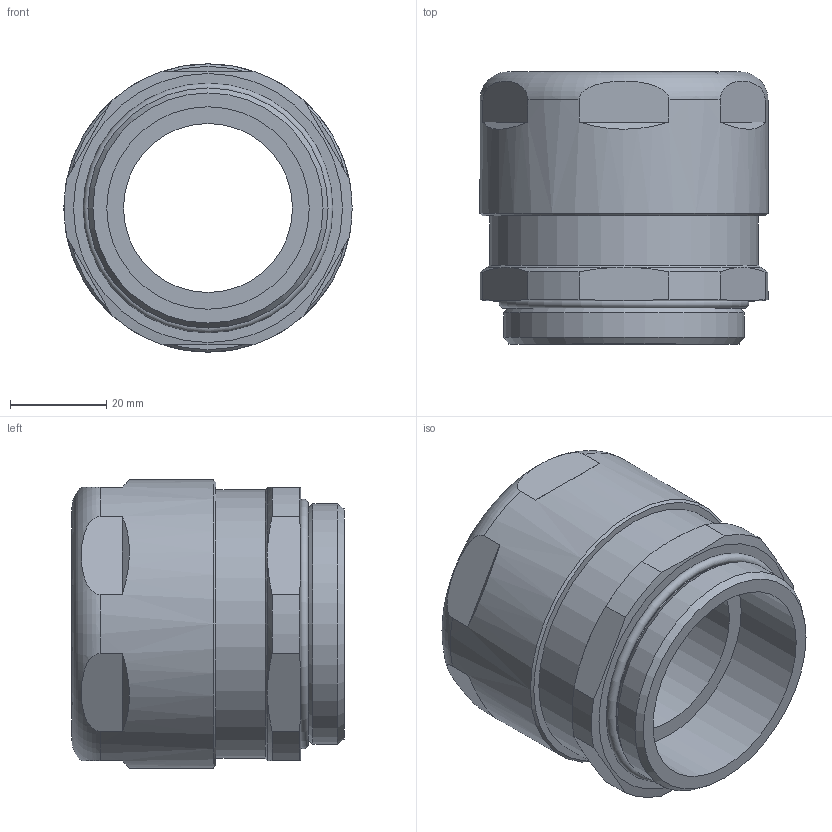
import cadquery as cq
import math


total_length = 56.7

thread_radius = 50 / 2
thread_tip_radius = 47.91 / 2
thread_tip_chamfer = 1.4
thread_back_start = 6.5
thread_length = 7.6
thread_relief_radius = 24.2

seal_centre_radius = 25.0
seal_section_radius = 1.0
seal_centre_y = 8.5

flange_radius = 60 / 2
flange_face_radius = 56 / 2
flange_face_y = 9.0
flange_front_rim_y = 9.25
flange_back_rim_y = 15.0
flange_back_shoulder_radius = 28.6
flange_back_shoulder_y = 15.9
flange_end_y = 16.4

neck_radius = 56 / 2

nut_radius = 60 / 2
nut_start_y = 26.7
nut_front_chamfer = 0.5
nut_rounding = 5.9

flat_count = 6
across_flats = 57.0
nut_flat_length = 10.5

through_bore_radius = 35.2 / 2
front_bore_radius = 42.15 / 2
front_bore_depth = 16.2


def make_turned_body():
    """Solid of revolution about Y: thread, seal ring, flange, neck and cap nut.

    The seal ring has a round section, partly sunk into the thread relief and the flange face.
    """
    seal_base_y = seal_centre_y - math.sqrt(
        seal_section_radius**2 - (seal_centre_radius - thread_relief_radius) ** 2
    )
    seal_rim_radius = seal_centre_radius + math.sqrt(
        seal_section_radius**2 - (flange_face_y - seal_centre_y) ** 2
    )
    seal_arc_offset = seal_section_radius * math.sqrt(0.5)
    nut_arc_inset = nut_rounding * (1 - math.sqrt(0.5))
    return (
        cq.Workplane("XY")
        .moveTo(0, 0)
        .lineTo(thread_tip_radius, 0)
        .lineTo(thread_radius, thread_tip_chamfer)
        .lineTo(thread_radius, thread_back_start)
        .lineTo(thread_relief_radius, thread_length)
        .lineTo(thread_relief_radius, seal_base_y)
        .threePointArc(
            (seal_centre_radius + seal_arc_offset, seal_centre_y - seal_arc_offset),
            (seal_rim_radius, flange_face_y),
        )
        .lineTo(flange_face_radius, flange_face_y)
        .lineTo(flange_radius, flange_front_rim_y)
        .lineTo(flange_radius, flange_back_rim_y)
        .lineTo(flange_back_shoulder_radius, flange_back_shoulder_y)
        .lineTo(neck_radius, flange_end_y)
        .lineTo(neck_radius, nut_start_y)
        .lineTo(nut_radius - nut_front_chamfer, nut_start_y)
        .lineTo(nut_radius, nut_start_y + nut_front_chamfer)
        .lineTo(nut_radius, total_length - nut_rounding)
        .threePointArc(
            (nut_radius - nut_arc_inset, total_length - nut_arc_inset),
            (nut_radius - nut_rounding, total_length),
        )
        .lineTo(0, total_length)
        .close()
        .revolve(360, (0, 0, 0), (0, 1, 0))
    )


def make_flat_cutters():
    """Cutters for one flat of the flange and one of the nut, the latter with a sloping run-out."""
    flat_height = across_flats / 2
    cut_depth = 2 * (nut_radius - flat_height)
    nut_flat_y = total_length - nut_flat_length
    flange_cutter = (
        cq.Workplane("YZ")
        .moveTo(flange_face_y, flat_height)
        .lineTo(flange_end_y, flat_height)
        .lineTo(flange_end_y, flat_height + cut_depth)
        .lineTo(flange_face_y, flat_height + cut_depth)
        .close()
        .extrude(nut_radius, both=True)
    )
    nut_cutter = (
        cq.Workplane("YZ")
        .moveTo(nut_flat_y, flat_height)
        .lineTo(total_length, flat_height)
        .lineTo(total_length, flat_height + cut_depth)
        .lineTo(nut_flat_y - cut_depth, flat_height + cut_depth)
        .close()
        .extrude(nut_radius, both=True)
    )
    return [flange_cutter, nut_cutter]


def cut_wrench_flats(body):
    """Cut the flats evenly around the Y axis, one pair facing +Z and -Z."""
    for cutter in make_flat_cutters():
        for index in range(flat_count):
            angle = index * 360 / flat_count
            body = body.cut(cutter.rotate((0, 0, 0), (0, 1, 0), angle))
    return body


def make_bore(radius, depth):
    """Cylinder along +Y starting at the threaded end."""
    return cq.Workplane("XZ").circle(radius).extrude(-depth)


result = cut_wrench_flats(make_turned_body())
result = result.cut(make_bore(through_bore_radius, total_length))
result = result.cut(make_bore(front_bore_radius, front_bore_depth))